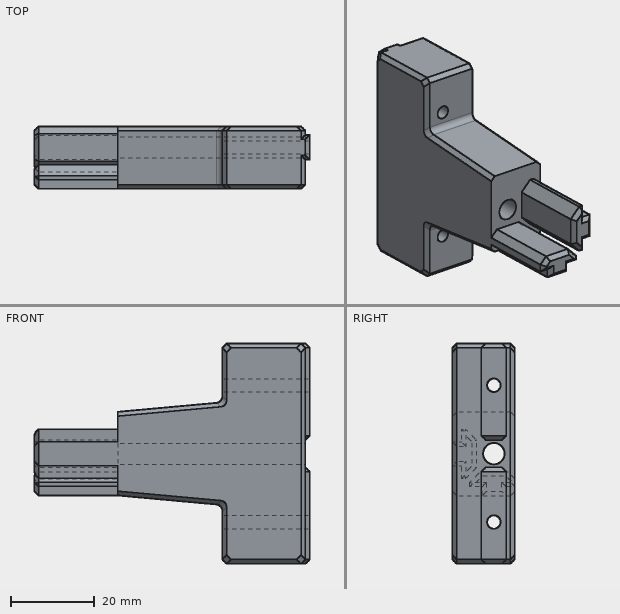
import cadquery as cq
import math

LENGTH = 66.0
THICKNESS = 15.0
HEAD_HEIGHT = 52.75
CHAMFER = 1.05

STUB_LENGTH = 20.0
NECK_LENGTH = 25.0
NECK_END_HEIGHT = 20.05
NECK_SLOPE = 5.2
CORNER_RADIUS = 1.5

TONGUE_HEIGHT = 1.05
TONGUE_WIDTH = 6.0
TONGUE_GAP = 8.65

RAIL_HEIGHT = 5.75
FOOT_WIDTH = 5.75
FOOT_HEIGHT = 2.2
CAP_TOP_WIDTH = 6.6
CAP_WIDTH = 11.75

HOLE_INSET = 5.0
CENTER_HOLE = 5.1
SIDE_HOLE = 3.2
SIDE_HOLE_OFFSET = 16.4

front_y = -THICKNESS / 2
back_y = THICKNESS / 2
hole_y = back_y - HOLE_INSET
head_x = STUB_LENGTH + NECK_LENGTH
body_end_x = LENGTH - TONGUE_HEIGHT
head_half = HEAD_HEIGHT / 2
neck_start_half = NECK_END_HEIGHT / 2


def block(x_range, y_range, z_range):
    """Box between the given limits."""
    limits = (x_range, y_range, z_range)
    sizes = [high - low for low, high in limits]
    return cq.Workplane("XY").box(*sizes, centered=False).translate(tuple(low for low, high in limits))


def body_outline(inset):
    """Outline in X and Z, moved inwards by the inset except at the neck end."""
    slope = math.radians(NECK_SLOPE)
    inset_drop = inset / math.cos(slope)
    left = head_x + inset
    right = body_end_x - inset
    top = head_half - inset
    neck_start = neck_start_half - inset_drop
    neck_finish = neck_start + (left - STUB_LENGTH) * math.tan(slope)

    tangent_length = CORNER_RADIUS * math.tan((math.pi / 2 - slope) / 2)
    arc_start = (left - tangent_length * math.cos(slope), neck_finish - tangent_length * math.sin(slope))
    arc_end = (left, neck_finish + tangent_length)
    center_x = left - CORNER_RADIUS
    center_z = arc_end[1]
    mid_angle = (slope - math.pi / 2) / 2
    arc_mid = (center_x + CORNER_RADIUS * math.cos(mid_angle), center_z + CORNER_RADIUS * math.sin(mid_angle))

    def below(point):
        return (point[0], -point[1])

    return (
        cq.Workplane("XZ")
        .moveTo(STUB_LENGTH, neck_start)
        .lineTo(*arc_start)
        .threePointArc(arc_mid, arc_end)
        .lineTo(left, top - CHAMFER)
        .lineTo(left + CHAMFER, top)
        .lineTo(right - CHAMFER, top)
        .lineTo(right, top - CHAMFER)
        .lineTo(right, CHAMFER - top)
        .lineTo(right - CHAMFER, -top)
        .lineTo(left + CHAMFER, -top)
        .lineTo(left, CHAMFER - top)
        .lineTo(*below(arc_end))
        .threePointArc(below(arc_mid), below(arc_start))
        .lineTo(STUB_LENGTH, -neck_start)
        .close()
        .val()
    )


def loft_outlines(first, first_y, second, second_y):
    """Straight-sided solid between two outlines placed at the given Y."""
    first_wire = first.translate((0, first_y, 0))
    second_wire = second.translate((0, second_y, 0))
    return cq.Solid.makeLoft([first_wire, second_wire], True)


def make_body():
    """Neck and head, chamfered all round except at the flat neck end."""
    full = body_outline(0)
    inset = body_outline(CHAMFER)
    front = loft_outlines(inset, front_y, full, front_y + CHAMFER)
    middle = loft_outlines(full, front_y + CHAMFER, full, back_y - CHAMFER)
    back = loft_outlines(full, back_y - CHAMFER, inset, back_y)
    return cq.Workplane(front).union(cq.Workplane(middle)).union(cq.Workplane(back))


def make_tongue():
    """Upper tongue: a bar on the +X face with bevelled ends."""
    tongue = block(
        (body_end_x - CHAMFER, LENGTH),
        (hole_y - TONGUE_WIDTH / 2, hole_y + TONGUE_WIDTH / 2),
        (TONGUE_GAP / 2 - CHAMFER, head_half),
    )
    tongue = tongue.edges("|X").chamfer(CHAMFER)
    return tongue.edges("(>X and >Z) or (>X and <Z)").chamfer(CHAMFER)


def make_rail(tip_low, tip_high):
    """Mushroom-shaped rail along +X standing on Z = 0, its cap clipped to the given Y limits."""
    base_half = CAP_TOP_WIDTH / 2 + RAIL_HEIGHT - FOOT_HEIGHT
    cap = (
        cq.Workplane("YZ")
        .polyline([
            (-base_half, FOOT_HEIGHT),
            (base_half, FOOT_HEIGHT),
            (CAP_TOP_WIDTH / 2, RAIL_HEIGHT),
            (-CAP_TOP_WIDTH / 2, RAIL_HEIGHT),
        ])
        .close()
        .extrude(STUB_LENGTH)
        .faces("<X").chamfer(CHAMFER)
    )
    clip = block((0, STUB_LENGTH), (tip_low, tip_high), (-RAIL_HEIGHT, 2 * RAIL_HEIGHT))
    cap = cap.intersect(clip.faces("<X").chamfer(CHAMFER))
    foot = block((0, STUB_LENGTH), (-FOOT_WIDTH / 2, FOOT_WIDTH / 2), (0, RAIL_HEIGHT - CHAMFER))
    foot = foot.faces("<X").chamfer(CHAMFER)
    return cap.union(foot)


def make_hole(diameter, z):
    """Cylinder through the whole part along X."""
    return cq.Workplane("YZ").center(hole_y, z).circle(diameter / 2).extrude(LENGTH)


tongue = make_tongue()
result = make_body().union(tongue).union(tongue.mirror("XY"))

lower_rail = make_rail(-CAP_WIDTH / 2, back_y - hole_y)
result = result.union(lower_rail.translate((0, hole_y, -neck_start_half)))

front_rail = make_rail(-CAP_WIDTH / 2, CAP_WIDTH / 2)
front_rail = front_rail.rotate((0, 0, 0), (1, 0, 0), -90)
result = result.union(front_rail.translate((0, front_y, 0)))

result = result.cut(make_hole(CENTER_HOLE, 0))
for side in (-1, 1):
    result = result.cut(make_hole(SIDE_HOLE, side * SIDE_HOLE_OFFSET))